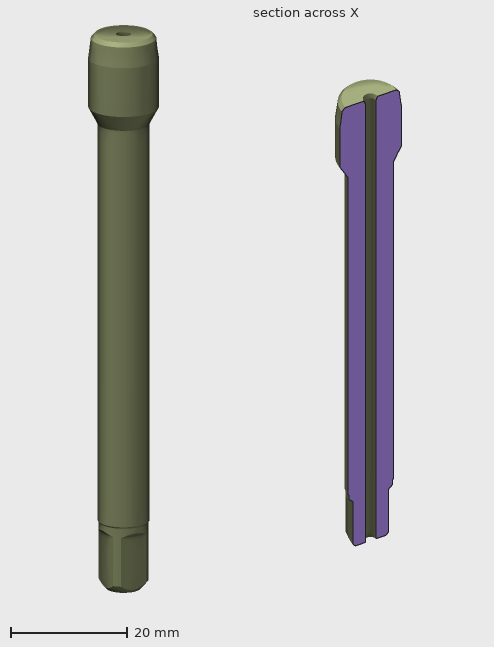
import cadquery as cq

length = 100.0
shaft_radius = 9.0 / 2

head_radius = 12.2 / 2
top_face_radius = 5.0
shoulder_radius = 5.65
top_chamfer_height = 0.7
band_top = 95.7
band_bottom = 86.9
neck_top = 84.5
neck_radius = 4.8
neck_bottom = 83.9

drive_width = 7.0
drive_corner_radius = 8.6 / 2
drive_tip_radius = 3.0
tip_chamfer_height = 1.5
flat_top = 10.2
collar_bottom = 12.0
collar_chamfer_height = 0.3

bore_diameter = 2.0
bore_mouth_diameter = 2.6
bore_mouth_depth = 0.8


def make_turned_body():
    """Revolve the half profile, from the drive tip up to the head."""
    shoulder_top = length - top_chamfer_height
    return (
        cq.Workplane("XZ")
        .moveTo(0, 0)
        .lineTo(drive_tip_radius, 0)
        .lineTo(drive_corner_radius, tip_chamfer_height)
        .lineTo(drive_corner_radius, collar_bottom)
        .lineTo(shaft_radius, collar_bottom + collar_chamfer_height)
        .lineTo(shaft_radius, neck_bottom)
        .lineTo(neck_radius, neck_top)
        .lineTo(head_radius, band_bottom)
        .lineTo(head_radius, band_top)
        .lineTo(shoulder_radius, shoulder_top)
        .lineTo(top_face_radius, length)
        .lineTo(0, length)
        .close()
        .revolve(360, (0, 0, 0), (0, 1, 0))
    )


def make_flat_cutter():
    """Material removed beside one drive flat, ending in a 45 degree run-out."""
    flat = drive_width / 2
    outer = drive_corner_radius
    runout_height = outer - flat
    return (
        cq.Workplane("XZ")
        .moveTo(flat, 0)
        .lineTo(outer, 0)
        .lineTo(outer, flat_top + runout_height)
        .lineTo(flat, flat_top)
        .close()
        .extrude(drive_corner_radius, both=True)
    )


def make_bore():
    """Through bore with a countersunk mouth in the top face."""
    bore = cq.Workplane("XY").circle(bore_diameter / 2).extrude(length)
    mouth = (
        cq.Workplane("XY", origin=(0, 0, length - bore_mouth_depth))
        .circle(bore_diameter / 2)
        .workplane(offset=bore_mouth_depth)
        .circle(bore_mouth_diameter / 2)
        .loft()
    )
    return bore.union(mouth)


result = make_turned_body()
for side in range(4):
    result = result.cut(make_flat_cutter().rotate((0, 0, 0), (0, 0, 1), 90 * side))
result = result.cut(make_bore())